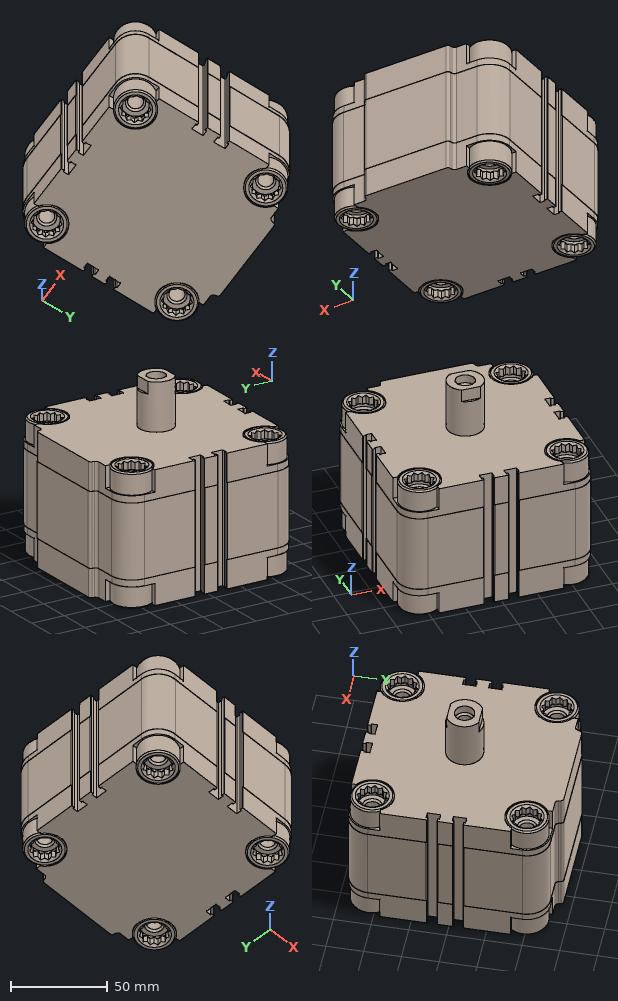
import cadquery as cq
import math

cap_height = 16.5
barrel_height = 43.0
rod_height = 28.0
barrel_bottom = cap_height
barrel_top = barrel_bottom + barrel_height
body_top = barrel_top + cap_height
rod_foot = barrel_top
rod_top = body_top + rod_height

width = 107.0
half_width = width / 2
corner_radius = 12.5
cap_inset = 0.15

rail_height = 4.0
rail_top_half_width = 26.0
rail_base_half_width = 27.0
rail_fillet = 1.8
selection_margin = 1.0

slot_offset = 6.9
slot_mouth_width = 5.2
slot_inner_width = 7.0
slot_depth = 5.3
slot_lip = 2.1
slot_bevel = 0.5
slot_overshoot = 1.0
slot_side_angles = (0, 90, -90)

collar_offset = half_width - corner_radius
collar_diameter = 23.0
collar_chamfer = 0.85
collar_height = 12.5
corner_notch_inner = 34.7
socket_cone_diameter = 17.7
socket_point_diameter = 16.0
socket_valley_diameter = 14.0
socket_points = 12
socket_cone_height = 1.4
socket_point_depth = 5.7
socket_depth = 7.7
corner_hole_diameter = 8.3
corner_hole_chamfer_diameter = 10.5

rod_diameter = 20.0
rod_flat_height = 7.0
rod_across_flats = 17.0
rod_hole_diameter = 8.38
rod_counterbore_diameter = 10.5
rod_counterbore_depth = 4.7
rod_hole_depth = 20.0
drill_tip_angle = 118.0

corner_signs = [(-1, -1), (-1, 1), (1, -1), (1, 1)]
collar_centers = [(sx * collar_offset, sy * collar_offset) for sx, sy in corner_signs]


def tslot():
    """Full-height T-slot on the -Y side, centred on X = 0, with a bevelled mouth."""
    inner_half = slot_inner_width / 2
    mouth_half = slot_mouth_width / 2
    bevel_half = mouth_half + slot_bevel
    right_side = [
        (inner_half, slot_depth),
        (inner_half, slot_lip),
        (mouth_half, slot_lip),
        (mouth_half, slot_bevel),
        (bevel_half, 0),
        (bevel_half, -slot_overshoot),
    ]
    left_side = [(-x, depth) for x, depth in reversed(right_side)]
    outline = [(x, depth - half_width) for x, depth in right_side + left_side]
    return cq.Workplane("XY").polyline(outline).close().extrude(body_top)


def profile_block(height):
    """Barrel profile with the side rail, extruded up from Z = 0."""
    block = (
        cq.Workplane("XY")
        .box(width, width, height, centered=(True, True, False))
        .edges("|Z")
        .fillet(corner_radius)
    )
    rail = (
        cq.Workplane("XY")
        .polyline([
            (-rail_base_half_width, 0),
            (-rail_base_half_width, half_width),
            (-rail_top_half_width, half_width + rail_height),
            (rail_top_half_width, half_width + rail_height),
            (rail_base_half_width, half_width),
            (rail_base_half_width, 0),
        ])
        .close()
        .extrude(height)
    )
    block = block.union(rail)
    rail_box = cq.selectors.BoxSelector(
        (-rail_base_half_width - selection_margin, half_width - selection_margin, -selection_margin),
        (
            rail_base_half_width + selection_margin,
            half_width + rail_height + selection_margin,
            height + selection_margin,
        ),
    )
    return block.edges("|Z").edges(rail_box).fillet(rail_fillet)


def inset_profile_block(height):
    """Barrel profile drawn in all round by the cap inset."""
    outline = profile_block(height).faces("<Z").wires().val().offset2D(-cap_inset)[0]
    return cq.Workplane("XY").add(outline).toPending().extrude(height)


def cone(bottom_diameter, top_diameter, height, top):
    """Frustum whose upper face lies at Z = top."""
    return (
        cq.Workplane("XY")
        .workplane(offset=top - height)
        .circle(bottom_diameter / 2)
        .workplane(offset=height)
        .circle(top_diameter / 2)
        .loft(combine=True)
    )


def spline_socket():
    """Twelve-pointed socket, conical at its mouth, with a round relief below the points."""
    point_radius = socket_point_diameter / 2
    valley_radius = socket_valley_diameter / 2
    points = []
    for step in range(2 * socket_points):
        angle = step * math.pi / socket_points
        radius = point_radius if step % 2 == 0 else valley_radius
        points.append((radius * math.cos(angle), radius * math.sin(angle)))
    floor = cap_height - socket_depth
    star = (
        cq.Workplane("XY")
        .workplane(offset=cap_height - socket_point_depth)
        .polyline(points)
        .close()
        .extrude(socket_point_depth)
    )
    relief = (
        cq.Workplane("XY")
        .workplane(offset=floor)
        .circle(point_radius)
        .extrude(socket_depth - socket_point_depth)
    )
    mouth = cone(socket_valley_diameter, socket_cone_diameter, socket_cone_height, cap_height)
    chamfer_height = (corner_hole_chamfer_diameter - corner_hole_diameter) / 2
    hole_mouth = cone(corner_hole_diameter, corner_hole_chamfer_diameter, chamfer_height, floor)
    return star.union(relief).union(mouth).union(hole_mouth)


def collar_edge():
    """Ring removed to bevel the top edge of a collar."""
    ring = (
        cq.Workplane("XY")
        .workplane(offset=cap_height - collar_chamfer)
        .circle(collar_diameter / 2)
        .extrude(collar_chamfer)
    )
    bevel = cone(
        collar_diameter, collar_diameter - 2 * collar_chamfer, collar_chamfer, cap_height
    )
    return ring.cut(bevel)


def corner_notch(sx, sy):
    """Block cleared outside a corner collar, down to the collar's foot."""
    size = half_width - corner_notch_inner
    middle = corner_notch_inner + size / 2
    notch = (
        cq.Workplane("XY")
        .box(size, size, collar_height, centered=(True, True, False))
        .translate((sx * middle, sy * middle, cap_height - collar_height))
    )
    collar = (
        cq.Workplane("XY")
        .center(sx * collar_offset, sy * collar_offset)
        .circle(collar_diameter / 2)
        .extrude(cap_height)
    )
    return notch.cut(collar)


def end_cap():
    """End cap with its outer face up at Z = cap_height."""
    cap = inset_profile_block(cap_height)
    for sx, sy in corner_signs:
        x = sx * collar_offset
        y = sy * collar_offset
        cap = cap.cut(corner_notch(sx, sy))
        cap = cap.cut(collar_edge().translate((x, y, 0)))
        cap = cap.cut(spline_socket().translate((x, y, 0)))
    return cap


def housing_body():
    """Barrel with an end cap at each end, the T-slots and corner holes running full height."""
    barrel = profile_block(barrel_height).translate((0, 0, barrel_bottom))
    upper_cap = end_cap().translate((0, 0, barrel_top))
    lower_cap = end_cap().mirror("XY").translate((0, 0, cap_height))
    body = barrel.union(upper_cap).union(lower_cap)
    for side_angle in slot_side_angles:
        for offset in (-slot_offset, slot_offset):
            slot = tslot().translate((offset, 0, 0))
            body = body.cut(slot.rotate((0, 0, 0), (0, 0, 1), side_angle))
    holes = (
        cq.Workplane("XY")
        .pushPoints(collar_centers)
        .circle(corner_hole_diameter / 2)
        .extrude(body_top)
    )
    rod_bore = (
        cq.Workplane("XY")
        .workplane(offset=rod_foot)
        .circle(rod_diameter / 2)
        .extrude(body_top - rod_foot)
    )
    return body.cut(holes).cut(rod_bore)


def make_piston_rod():
    """Rod standing in the upper cap, with wrench flats facing +Y and -Y and a counterbored end hole."""
    rod = (
        cq.Workplane("XY")
        .workplane(offset=rod_foot)
        .circle(rod_diameter / 2)
        .extrude(rod_top - rod_foot)
    )
    flats = (
        cq.Workplane("XY")
        .workplane(offset=rod_top - rod_flat_height)
        .rect(2 * rod_diameter, 2 * rod_diameter)
        .rect(2 * rod_diameter, rod_across_flats)
        .extrude(rod_flat_height)
    )
    hole_radius = rod_hole_diameter / 2
    counterbore_radius = rod_counterbore_diameter / 2
    counterbore_floor = rod_top - rod_counterbore_depth
    hole_bottom = rod_top - rod_hole_depth
    tip_height = hole_radius / math.tan(math.radians(drill_tip_angle / 2))
    hole = (
        cq.Workplane("XZ")
        .polyline([
            (0, rod_top),
            (counterbore_radius, rod_top),
            (counterbore_radius, counterbore_floor),
            (hole_radius, counterbore_floor - (counterbore_radius - hole_radius)),
            (hole_radius, hole_bottom),
            (0, hole_bottom - tip_height),
        ])
        .close()
        .revolve(360, (0, 0, 0), (0, 1, 0))
    )
    return rod.cut(flats).cut(hole)


housing = housing_body()
piston_rod = make_piston_rod()

result = cq.Compound.makeCompound([housing.val(), piston_rod.val()])